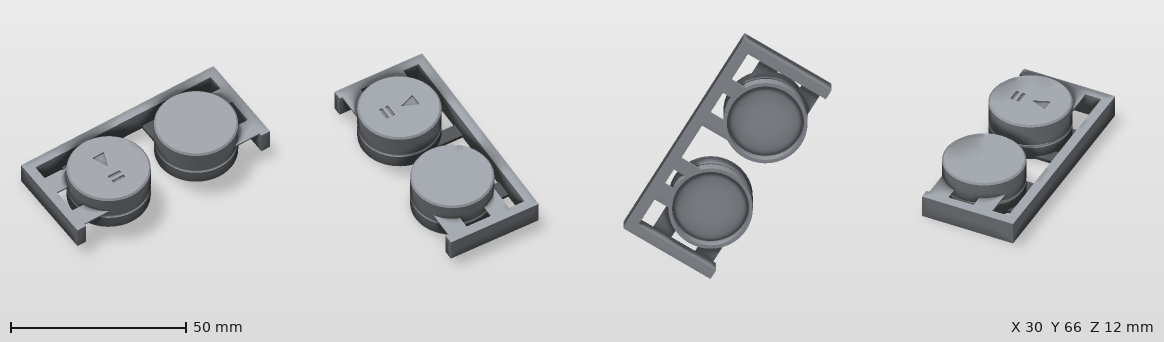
import cadquery as cq

FRAME_LENGTH = 66.0
FRAME_WIDTH = 29.0
FRAME_HEIGHT = 7.0
WALL = 3.0

BUTTON_DIAMETER = 24.0
BUTTON_INSET = 18.0
CAP_BOTTOM = 5.0
CAP_TOP = 12.0
CAP_CHAMFER = 0.5
RING_BORE = 22.0
RING_HEIGHT = 4.0

BEAM_WIDTH = 6.0
BEAM_THICKNESS = 0.5
BEAM_OFFSET = 7.0

TAB_THICKNESS = 1.0
FRONT_TABS = [(12.0, 16.55), (23.55, 28.05)]
REAR_TABS = [(12.0, 17.55), (22.6, 26.45)]

MARK_DEPTH = 0.5
MARK_HEIGHT = 4.0
PLAY_START = -5.5
PLAY_LENGTH = 5.0
PAUSE_BAR_WIDTH = 1.0
PAUSE_BAR_CENTERS = [3.05, 5.0]

BUTTON_X = BUTTON_INSET
FRONT_BUTTON_Y = BUTTON_INSET
REAR_BUTTON_Y = FRAME_LENGTH - BUTTON_INSET
BUTTON_RADIUS = BUTTON_DIAMETER / 2
RING_MID_RADIUS = (BUTTON_DIAMETER + RING_BORE) / 4


def block(x_range, y_range, z_range):
    """Box spanning the given ranges, whichever end of a range comes first."""
    x0, x1 = sorted(x_range)
    y0, y1 = sorted(y_range)
    z0, z1 = sorted(z_range)
    return cq.Workplane("XY").box(x1 - x0, y1 - y0, z1 - z0, centered=False).translate((x0, y0, z0))


def make_frame():
    outer = block((0, FRAME_WIDTH), (0, FRAME_LENGTH), (0, FRAME_HEIGHT))
    opening = block((WALL, FRAME_WIDTH), (WALL, FRAME_LENGTH - WALL), (0, FRAME_HEIGHT))
    return outer.cut(opening)


def make_cap(button_y):
    return (
        cq.Workplane("XY", origin=(BUTTON_X, button_y, CAP_BOTTOM))
        .circle(BUTTON_RADIUS)
        .extrude(CAP_TOP - CAP_BOTTOM)
        .faces(">Z")
        .chamfer(CAP_CHAMFER)
    )


def make_ring(button_y):
    return (
        cq.Workplane("XY", origin=(BUTTON_X, button_y, 0))
        .circle(BUTTON_RADIUS)
        .circle(RING_BORE / 2)
        .extrude(RING_HEIGHT)
    )


def make_beams(button_y, end_y):
    """Two beams from the end wall at end_y, running into the side of the cap and ending on its axis line."""
    z_range = (FRAME_HEIGHT - BEAM_THICKNESS, FRAME_HEIGHT)
    beams = cq.Workplane("XY")
    for side in (-1, 1):
        center_x = BUTTON_X + side * BEAM_OFFSET
        x_range = (center_x - BEAM_WIDTH / 2, center_x + BEAM_WIDTH / 2)
        beams = beams.add(block(x_range, (end_y, button_y), z_range))
    return beams.combine()


def make_tabs(button_y, end_y, inward, tab_edges):
    """Tabs from the long wall to the ring, kept clear of the ring bore."""
    tabs = cq.Workplane("XY")
    for near, far in tab_edges:
        y_range = (end_y + inward * near, end_y + inward * far)
        tabs = tabs.add(block((0, BUTTON_X), y_range, (0, TAB_THICKNESS)))
    bore = cq.Workplane("XY", origin=(BUTTON_X, button_y, 0)).circle(RING_MID_RADIUS).extrude(TAB_THICKNESS)
    return tabs.combine().cut(bore)


def make_play_pause_marks(button_y):
    floor = cq.Workplane("XY", origin=(BUTTON_X, button_y, CAP_TOP - MARK_DEPTH))
    play = (
        floor.moveTo(PLAY_START, -MARK_HEIGHT / 2)
        .lineTo(PLAY_START + PLAY_LENGTH, 0)
        .lineTo(PLAY_START, MARK_HEIGHT / 2)
        .close()
        .extrude(MARK_DEPTH)
    )
    pause = (
        floor.pushPoints([(x, 0) for x in PAUSE_BAR_CENTERS])
        .rect(PAUSE_BAR_WIDTH, MARK_HEIGHT)
        .extrude(MARK_DEPTH)
    )
    return play.union(pause)


result = make_frame()
buttons = [
    (FRONT_BUTTON_Y, 0, 1, FRONT_TABS),
    (REAR_BUTTON_Y, FRAME_LENGTH, -1, REAR_TABS),
]
for button_y, end_y, inward, tab_edges in buttons:
    result = result.union(make_beams(button_y, end_y))
    result = result.union(make_tabs(button_y, end_y, inward, tab_edges))
    result = result.union(make_ring(button_y))
    result = result.union(make_cap(button_y))
result = result.cut(make_play_pause_marks(FRONT_BUTTON_Y))